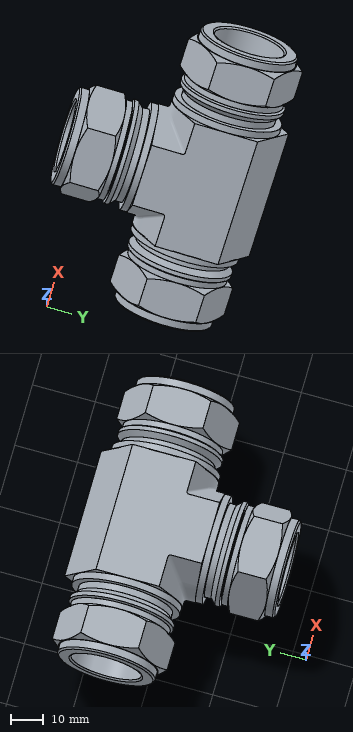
import cadquery as cq
import math

BODY_ACROSS_FLATS = 34.9
BODY_REACH = 20.7
BODY_CORNER_RADIUS = BODY_ACROSS_FLATS / 2
CROTCH_FILLET = 1.0
CROTCH_MARGIN = 0.9

PORT_REACH = 45.3
COLLAR_END = 22.8
NECK_END = 25.0
FLANGE_END = 28.1
NUT_START = 28.55
HEX_START = 30.5
HEX_END = 42.3

COLLAR_DIAMETER = 34.5
NECK_DIAMETER = 29.9
FLANGE_DIAMETER = 33.4
GAP_DIAMETER = 28.55
NUT_SKIRT_DIAMETER = 31.7
NUT_NOSE_DIAMETER = 31.2
NOSE_CHAMFER = 0.5

NUT_ACROSS_FLATS = 31.8
NUT_CHAMFER_ANGLE = 30.0

PASSAGE_DIAMETER = 18.3
TUBE_DIAMETER = 22.4
TUBE_SEAT = 27.2
MOUTH_CHAMFER = 0.5


def across_corners(across_flats):
    return across_flats / math.cos(math.radians(30))


def hexagon_bar(across_flats, start, end):
    """Hexagonal bar along X with flats on +Z and -Z and corners on +Y and -Y."""
    return (
        cq.Workplane("YZ", origin=(start, 0, 0))
        .polygon(6, across_corners(across_flats))
        .extrude(end - start)
    )


def turned(profile):
    """Revolve a closed (distance along X, radius) profile about the X axis."""
    return cq.Workplane("XY").polyline(profile).close().revolve(360, (0, 0, 0), (1, 0, 0))


def to_branch(shape):
    """Swing a shape from the +X port to the -Y port."""
    return shape.rotate((0, 0, 0), (0, 0, 1), -90)


def to_left(shape):
    """Swing a shape from the +X port to the -X port."""
    return shape.rotate((0, 0, 0), (0, 0, 1), 180)


def on_every_port(shape):
    return shape.union(to_left(shape)).union(to_branch(shape))


def body_section(plane, round_far_corner):
    """Hexagon with its near corner rounded, and its far corner rounded or left sharp."""
    half_flats = BODY_ACROSS_FLATS / 2
    half_corners = across_corners(BODY_ACROSS_FLATS) / 2
    half_side = half_corners / 2
    tangent_across = BODY_CORNER_RADIUS * math.cos(math.radians(30))
    tangent_up = BODY_CORNER_RADIUS * math.sin(math.radians(30))
    section = (
        cq.Workplane(plane)
        .moveTo(half_side, half_flats)
        .lineTo(-half_side, half_flats)
        .lineTo(-tangent_across, tangent_up)
        .threePointArc((-BODY_CORNER_RADIUS, 0), (-tangent_across, -tangent_up))
        .lineTo(-half_side, -half_flats)
        .lineTo(half_side, -half_flats)
    )
    if round_far_corner:
        section = section.lineTo(tangent_across, -tangent_up)
        section = section.threePointArc((BODY_CORNER_RADIUS, 0), (tangent_across, tangent_up))
    else:
        section = section.lineTo(half_corners, 0)
    return section.close()


def make_body():
    """Run along X, sharp only on its back corner, with the branch towards -Y."""
    run = body_section("YZ", round_far_corner=False).extrude(BODY_REACH, both=True)
    branch = body_section("XZ", round_far_corner=True).extrude(BODY_REACH)
    side = BODY_REACH - CROTCH_MARGIN
    height = BODY_ACROSS_FLATS / 2 - CROTCH_MARGIN
    nearest_y = -BODY_ACROSS_FLATS / 4
    crotch_box = cq.selectors.BoxSelector((-side, -side, -height), (side, nearest_y, height))
    return run.union(branch).edges(crotch_box).fillet(CROTCH_FILLET)


def make_fitting():
    """Collar, neck, flange, nut skirt and nut nose, turned about the X axis."""
    cone_length = (FLANGE_DIAMETER - NECK_DIAMETER) / 2
    nose_radius = NUT_NOSE_DIAMETER / 2
    return turned([
        (BODY_REACH, 0),
        (BODY_REACH, COLLAR_DIAMETER / 2),
        (COLLAR_END, COLLAR_DIAMETER / 2),
        (COLLAR_END, NECK_DIAMETER / 2),
        (NECK_END, NECK_DIAMETER / 2),
        (NECK_END + cone_length, FLANGE_DIAMETER / 2),
        (FLANGE_END, FLANGE_DIAMETER / 2),
        (FLANGE_END, GAP_DIAMETER / 2),
        (NUT_START, GAP_DIAMETER / 2),
        (NUT_START, NUT_SKIRT_DIAMETER / 2),
        (HEX_START, NUT_SKIRT_DIAMETER / 2),
        (HEX_END, nose_radius),
        (PORT_REACH - NOSE_CHAMFER, nose_radius),
        (PORT_REACH, nose_radius - NOSE_CHAMFER),
        (PORT_REACH, 0),
    ])


def make_nut_hexagon():
    """Hexagon with both ends coned off so that its corners are chamfered."""
    corner_radius = across_corners(NUT_ACROSS_FLATS) / 2
    slope = math.tan(math.radians(NUT_CHAMFER_ANGLE))
    cone_radius = NUT_SKIRT_DIAMETER / 2
    cone_length = (corner_radius - cone_radius) * slope
    envelope = turned([
        (HEX_START, 0),
        (HEX_START, cone_radius),
        (HEX_START + cone_length, corner_radius),
        (HEX_END - cone_length, corner_radius),
        (HEX_END, cone_radius),
        (HEX_END, 0),
    ])
    return hexagon_bar(NUT_ACROSS_FLATS, HEX_START, HEX_END).intersect(envelope)


def make_port_bore():
    """Through passage, wider tube socket and chamfered mouth."""
    tube_radius = TUBE_DIAMETER / 2
    return turned([
        (0, 0),
        (0, PASSAGE_DIAMETER / 2),
        (TUBE_SEAT, PASSAGE_DIAMETER / 2),
        (TUBE_SEAT, tube_radius),
        (PORT_REACH - MOUTH_CHAMFER, tube_radius),
        (PORT_REACH, tube_radius + MOUTH_CHAMFER),
        (PORT_REACH, 0),
    ])


port = make_fitting().union(make_nut_hexagon())
result = make_body().union(on_every_port(port)).cut(on_every_port(make_port_bore()))